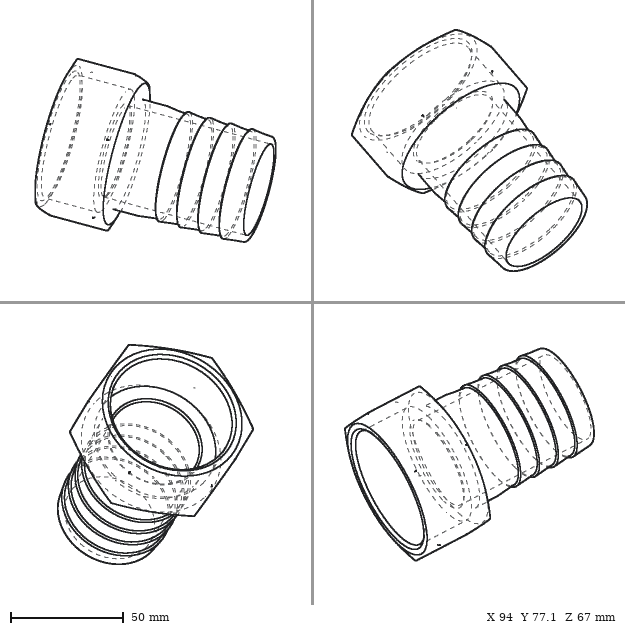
import cadquery as cq
import math

TOTAL_LENGTH = 94.0
NUT_LENGTH = 32.0
NECK_LENGTH = 12.2

ACROSS_FLATS = 67.0
CORNER_FILLET = 0.8
RIM_FILLET = 1.0
END_FACE_DIAMETER = 65.0
BLANK_RADIUS = 42.0
NUT_CHAMFER_ANGLE = 20.5

TAIL_DIAMETER = 50.6
BARB_COUNT = 5
BARB_DROP = 1.1
BARB_STEP_LENGTH = 0.5
TIP_FILLET = 0.6
NECK_FILLET = 0.7

THREAD_BORE_DIAMETER = 56.66
THREAD_MOUTH_DIAMETER = 59.6
THREAD_DEPTH = 26.0
THROUGH_BORE_DIAMETER = 42.0
SEAT_CHAMFER = 1.0

tail_radius = TAIL_DIAMETER / 2
barb_start = NUT_LENGTH + NECK_LENGTH
barb_pitch = (TOTAL_LENGTH - barb_start) / BARB_COUNT


def revolve_about_x(profile):
    """Revolve an (x, radius) profile a full turn about the X axis."""
    return profile.close().revolve(360, (0, 0, 0), (1, 0, 0))


def make_turned_slab():
    """Round blank with both ends turned to a cone, milled to one pair of flats with rounded rims."""
    face_radius = END_FACE_DIAMETER / 2
    cone_length = (BLANK_RADIUS - face_radius) * math.tan(math.radians(NUT_CHAMFER_ANGLE))
    blank = revolve_about_x(
        cq.Workplane("XY")
        .moveTo(0, 0)
        .lineTo(0, face_radius)
        .lineTo(cone_length, BLANK_RADIUS)
        .lineTo(NUT_LENGTH - cone_length, BLANK_RADIUS)
        .lineTo(NUT_LENGTH, face_radius)
        .lineTo(NUT_LENGTH, 0)
    )
    flats_envelope = cq.Workplane("YZ").rect(2 * BLANK_RADIUS, ACROSS_FLATS).extrude(NUT_LENGTH)
    slab = blank.intersect(flats_envelope)
    rim_edges = slab.faces(">Z or <Z").edges("not |X")
    return slab.newObject(rim_edges.vals()).fillet(RIM_FILLET)


def make_nut():
    """Hexagon common to three turned slabs 60 degrees apart, with rounded corners."""
    across_corners = ACROSS_FLATS / math.cos(math.radians(30))
    nut = (
        cq.Workplane("YZ")
        .polygon(6, across_corners)
        .extrude(NUT_LENGTH)
        .edges("|X")
        .fillet(CORNER_FILLET)
    )
    slab = make_turned_slab()
    for turn in (0, 60, 120):
        nut = nut.intersect(slab.rotate((0, 0, 0), (1, 0, 0), turn))
    return nut


def make_tail():
    """Plain neck followed by barbs that taper toward the +X end."""
    valley_radius = tail_radius - BARB_DROP
    profile = (
        cq.Workplane("XY")
        .moveTo(THREAD_DEPTH, 0)
        .lineTo(THREAD_DEPTH, tail_radius)
        .lineTo(barb_start, tail_radius)
    )
    for barb in range(1, BARB_COUNT):
        barb_end = barb_start + barb * barb_pitch
        profile = profile.lineTo(barb_end - BARB_STEP_LENGTH, valley_radius).lineTo(barb_end, tail_radius)
    profile = profile.lineTo(TOTAL_LENGTH, valley_radius).lineTo(TOTAL_LENGTH, 0)
    return revolve_about_x(profile).faces(">X").edges().fillet(TIP_FILLET)


def make_neck_blend():
    """Concave fillet ring where the neck leaves the rear face of the nut."""
    return revolve_about_x(
        cq.Workplane("XY")
        .moveTo(NUT_LENGTH, tail_radius)
        .lineTo(NUT_LENGTH, tail_radius + NECK_FILLET)
        .radiusArc((NUT_LENGTH + NECK_FILLET, tail_radius), -NECK_FILLET)
    )


def make_bores():
    """Thread bore with a chamfered mouth, stepping down to the through bore."""
    mouth_radius = THREAD_MOUTH_DIAMETER / 2
    thread_radius = THREAD_BORE_DIAMETER / 2
    bore_radius = THROUGH_BORE_DIAMETER / 2
    return revolve_about_x(
        cq.Workplane("XY")
        .moveTo(0, 0)
        .lineTo(0, mouth_radius)
        .lineTo(mouth_radius - thread_radius, thread_radius)
        .lineTo(THREAD_DEPTH, thread_radius)
        .lineTo(THREAD_DEPTH, bore_radius + SEAT_CHAMFER)
        .lineTo(THREAD_DEPTH + SEAT_CHAMFER, bore_radius)
        .lineTo(TOTAL_LENGTH, bore_radius)
        .lineTo(TOTAL_LENGTH, 0)
    )


outer_body = make_nut().union(make_tail()).union(make_neck_blend())
result = outer_body.cut(make_bores()).solids()